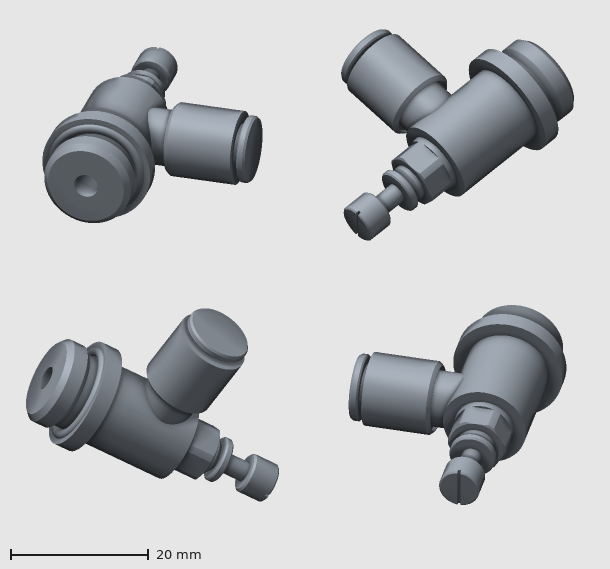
import cadquery as cq
import math


total_length = 37.95
thread_radius = 6.55
relief_radius = 5.73
thread_chamfer = thread_radius - relief_radius
thread_length = 3.9
flange_radius = 8.15
flange_start = 5.4
flange_end = 7.95

seal_section_radius = 0.75
seal_ring_radius = 6.55
seal_center_y = 5.7

barrel_radius = 6.2
barrel_end = 22.28
collar_base_radius = 4.48
collar_end = 23.15

hex_across_flats = 7.97
hex_corner_radius = 4.33
hex_end = 27.15
hex_chamfer_radius = hex_across_flats / 2
hex_chamfer_length = 0.2

gland_radius = 2.9
gland_top_radius = 2.25
gland_cone_start = 27.85
gland_end = 28.45

disc_neck_radius = 1.95
disc_radius = 3.4
disc_start = 28.73
disc_end = 29.9
disc_chamfer = 0.23
stem_radius = 1.5
knob_radius = 3.0
knob_start = 33.75
knob_base_chamfer = 0.3
knob_top_chamfer = 0.23
slot_width = 0.45
slot_depth = 0.6

bore_radius = 1.8
bore_depth = flange_end

port_center_y = 17.15
port_neck_radius = 4.15
port_start = 8.15
port_shoulder_x = 8.4
port_full_x = 8.73
port_end = 18.35
port_face_radius = 4.9
port_shoulder_radius = 5.12
port_radius = 5.43
port_recess_radius = 4.8
port_recess_depth = 0.6
sleeve_neck_radius = 3.6
sleeve_start = 19.13
sleeve_end = 20.4
sleeve_radius = 4.95
sleeve_inner_chamfer = 0.23
sleeve_outer_chamfer = 0.35
sleeve_chamfer_height = 0.23


def turned_along_y(outline):
    """Revolve (radius, y) points about the Y axis, closing the outline on the axis."""
    points = [(0, outline[0][1])] + outline + [(0, outline[-1][1])]
    return cq.Workplane("XY").polyline(points).close().revolve(360, (0, 0), (0, 1))


def turned_along_port(outline):
    """Revolve (x, radius) points about the port axis, closing the outline on the axis."""
    points = [(outline[0][0], 0)] + outline + [(outline[-1][0], 0)]
    profile = cq.Workplane("XY", origin=(0, port_center_y, 0)).polyline(points).close()
    return profile.revolve(360, (0, 0), (1, 0))


def make_body():
    return turned_along_y([
        (thread_radius - thread_chamfer, 0),
        (thread_radius, thread_chamfer),
        (thread_radius, thread_length - thread_chamfer),
        (relief_radius, thread_length),
        (relief_radius, flange_start),
        (flange_radius, flange_start),
        (flange_radius, flange_end),
        (barrel_radius, flange_end),
        (barrel_radius, barrel_end),
        (collar_base_radius, barrel_end),
        (hex_corner_radius, collar_end),
    ])


def make_seal():
    section = cq.Workplane("XY").center(seal_ring_radius, seal_center_y).circle(seal_section_radius)
    return section.revolve(360, (-seal_ring_radius, 0), (-seal_ring_radius, 1))


def make_hexagon():
    """Hexagonal prism, flats facing +Z and -Z, trimmed by a chamfered cylinder."""
    across_corners = hex_across_flats / math.cos(math.radians(30))
    prism = (
        cq.Workplane("XZ", origin=(0, barrel_end, 0))
        .polygon(6, across_corners)
        .extrude(barrel_end - hex_end)
    )
    envelope = turned_along_y([
        (collar_base_radius, barrel_end),
        (hex_corner_radius, collar_end),
        (hex_corner_radius, hex_end - hex_chamfer_length),
        (hex_chamfer_radius, hex_end),
    ])
    return prism.intersect(envelope)


def make_adjuster():
    """Gland, lock disc, stem and knob in one turned piece with a screwdriver slot."""
    adjuster = turned_along_y([
        (gland_radius, hex_end),
        (gland_radius, gland_cone_start),
        (gland_top_radius, gland_end),
        (disc_neck_radius, gland_end),
        (disc_neck_radius, disc_start),
        (disc_radius - disc_chamfer, disc_start),
        (disc_radius, disc_start + disc_chamfer),
        (disc_radius, disc_end - disc_chamfer),
        (disc_radius - disc_chamfer, disc_end),
        (stem_radius, disc_end),
        (stem_radius, knob_start),
        (knob_radius - knob_base_chamfer, knob_start),
        (knob_radius, knob_start + knob_base_chamfer),
        (knob_radius, total_length - knob_top_chamfer),
        (knob_radius - knob_top_chamfer, total_length),
    ])
    slot = cq.Workplane("XY").box(slot_width, 2 * slot_depth, 2 * knob_radius)
    return adjuster.cut(slot.translate((0, total_length, 0)))


def make_port():
    """Side port with an annular recess around its neck and a release sleeve at its end."""
    return turned_along_port([
        (0, port_neck_radius),
        (port_start + port_recess_depth, port_neck_radius),
        (port_start + port_recess_depth, port_recess_radius),
        (port_start, port_recess_radius),
        (port_start, port_face_radius),
        (port_shoulder_x, port_shoulder_radius),
        (port_full_x, port_radius),
        (port_end, port_radius),
        (port_end, sleeve_neck_radius),
        (sleeve_start, sleeve_neck_radius),
        (sleeve_start, sleeve_radius - sleeve_chamfer_height),
        (sleeve_start + sleeve_inner_chamfer, sleeve_radius),
        (sleeve_end - sleeve_outer_chamfer, sleeve_radius),
        (sleeve_end, sleeve_radius - sleeve_chamfer_height),
    ])


def make_bore():
    return cq.Workplane("XZ").circle(bore_radius).extrude(-bore_depth)


result = make_body()
for piece in (make_seal(), make_hexagon(), make_adjuster(), make_port()):
    result = result.union(piece)
result = result.cut(make_bore())